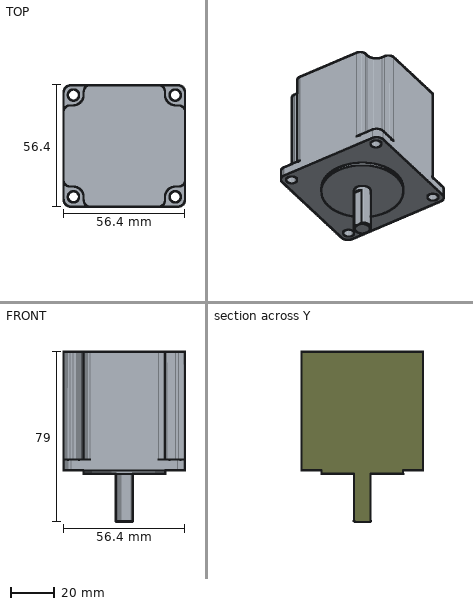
import cadquery as cq


frame_width = 56.4
body_height = 55.0
flange_thickness = 5.0
flange_corner_radius = 3.5

hole_spacing = 47.14
hole_diameter = 5.1

relief_depth = 9.4
relief_edge_radius = 3.0
relief_inner_radius = 5.0

pilot_diameter = 38.1
pilot_height = 1.6
shaft_diameter = 8.0
shaft_length = 24.0
shaft_chamfer = 0.5
flat_depth = 0.5
flat_length = 20.0

def make_flange():
    """Square mounting plate with rounded corners."""
    plate = cq.Workplane("XY").rect(frame_width, frame_width).extrude(flange_thickness)
    return plate.edges("|Z").fillet(flange_corner_radius)

def make_body():
    """Square prism from the mounting face up, each corner cut by a rounded relief."""
    body = cq.Workplane("XY").rect(frame_width, frame_width).extrude(body_height)
    reliefs = (
        cq.Workplane("XY")
        .rect(frame_width, frame_width, forConstruction=True)
        .vertices()
        .rect(2 * relief_depth, 2 * relief_depth)
        .extrude(body_height)
    )
    reliefs = reliefs.edges("|Z").fillet(relief_inner_radius)
    body = body.cut(reliefs)
    for side in (">X", "<X", ">Y", "<Y"):
        body = body.faces(side).edges("|Z").fillet(relief_edge_radius)
    return body

def make_mounting_holes():
    """Four through holes, one in each flange corner."""
    return (
        cq.Workplane("XY")
        .rect(hole_spacing, hole_spacing, forConstruction=True)
        .vertices()
        .circle(hole_diameter / 2)
        .extrude(flange_thickness)
    )

def make_pilot():
    """Round locating boss below the mounting face."""
    return cq.Workplane("XY").circle(pilot_diameter / 2).extrude(-pilot_height)

def make_shaft():
    """Output shaft with a chamfered tip and a flat on its +Y side."""
    shaft = cq.Workplane("XY").circle(shaft_diameter / 2).extrude(-shaft_length)
    shaft = shaft.faces("<Z").edges().chamfer(shaft_chamfer)
    flat_cutter = (
        cq.Workplane("XY")
        .workplane(offset=-shaft_length)
        .center(0, shaft_diameter / 2)
        .rect(shaft_diameter, 2 * flat_depth)
        .extrude(flat_length)
    )
    return shaft.cut(flat_cutter)

housing = make_flange().union(make_body()).cut(make_mounting_holes())
result = housing.union(make_pilot()).union(make_shaft())